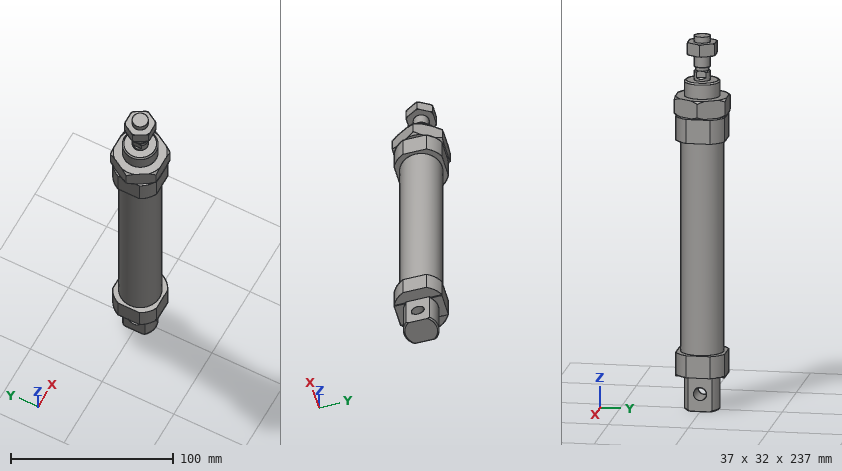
import cadquery as cq
import math

TOTAL_HEIGHT = 237.0
CAP_BOTTOM = 22.0
CAP_STEP = 23.0
REAR_CAP_TOP = 37.0
FRONT_CAP_BOTTOM = 171.8
FRONT_CAP_TOP = 187.0
NECK_TOP = 209.0
ROD_SHOULDER = 215.2
THREAD_BOTTOM = 217.5

TUBE_DIAMETER = 26.8
CAP_WIDTH = 30.5
CAP_FLAT_WIDTH = 15.0
CAP_DIAMETER = math.hypot(CAP_WIDTH, CAP_FLAT_WIDTH)
NECK_DIAMETER = 22.0
NECK_CHAMFER = 1.0
TAIL_DIAMETER = NECK_DIAMETER
TAIL_THICKNESS = 16.0
TAIL_CHAMFER = 1.0
PIN_HOLE_DIAMETER = 8.0
PIN_HOLE_HEIGHT = 11.1

ROD_DIAMETER = 10.0
UNDERCUT_DIAMETER = 8.0
ROD_CHAMFER = 0.7
FLAT_SPACING = UNDERCUT_DIAMETER
FLAT_DEPTH = (ROD_DIAMETER - FLAT_SPACING) / 2
FLAT_BOTTOM = 211.2

NECK_NUT_ACROSS_FLATS = 32.0
NECK_NUT_BOTTOM = 187.7
NECK_NUT_HEIGHT = 11.4
NECK_NUT_FACE_DIAMETER = 33.2
NECK_NUT_CHAMFER_HEIGHT = 1.5
ROD_NUT_ACROSS_FLATS = 17.0
ROD_NUT_BOTTOM = 225.5
ROD_NUT_HEIGHT = 7.8
ROD_NUT_FACE_DIAMETER = 18.5
ROD_NUT_CHAMFER_HEIGHT = 0.5


def cylinder(diameter, bottom, top):
    """Vertical cylinder on the Z axis between two heights."""
    return cq.Workplane("XY", origin=(0, 0, bottom)).circle(diameter / 2).extrude(top - bottom)


def make_cap(bottom, top):
    """Round cap with four flats, one facing each of +X, -X, +Y and -Y."""
    block = cq.Workplane("XY", origin=(0, 0, bottom)).rect(CAP_WIDTH, CAP_WIDTH).extrude(top - bottom)
    return block.intersect(cylinder(CAP_DIAMETER, bottom, top))


def make_rear_cap():
    """Rear cap whose underside is stepped up on the +X and -X sides."""
    bridge = make_cap(CAP_BOTTOM, CAP_STEP).intersect(
        cq.Workplane("XY", origin=(0, 0, CAP_BOTTOM))
        .rect(CAP_FLAT_WIDTH, CAP_WIDTH)
        .extrude(CAP_STEP - CAP_BOTTOM)
    )
    return make_cap(CAP_STEP, REAR_CAP_TOP).union(bridge)


def make_tail():
    """Chamfered round tail with two flats and a cross hole along X."""
    tail = cylinder(TAIL_DIAMETER, 0, CAP_STEP).faces("<Z").chamfer(TAIL_CHAMFER)
    slab = cq.Workplane("XY").rect(TAIL_THICKNESS, TAIL_DIAMETER).extrude(CAP_STEP)
    pin_hole = (
        cq.Workplane("YZ", origin=(0, 0, PIN_HOLE_HEIGHT))
        .circle(PIN_HOLE_DIAMETER / 2)
        .extrude(TAIL_THICKNESS, both=True)
    )
    return tail.intersect(slab).cut(pin_hole)


def make_barrel():
    """Cylinder housing: tail, caps, tube and neck in one solid."""
    tube = cylinder(TUBE_DIAMETER, REAR_CAP_TOP, FRONT_CAP_BOTTOM)
    neck = cylinder(NECK_DIAMETER, FRONT_CAP_TOP, NECK_TOP).faces(">Z").chamfer(NECK_CHAMFER)
    front_cap = make_cap(FRONT_CAP_BOTTOM, FRONT_CAP_TOP)
    return make_tail().union(make_rear_cap()).union(tube).union(front_cap).union(neck)


def make_rod():
    """Piston rod standing on the neck, with two wrench flats that run out at 45 degrees."""
    shank = cylinder(ROD_DIAMETER, NECK_TOP, ROD_SHOULDER).faces(">Z").chamfer(ROD_CHAMFER)
    cutter = (
        cq.Workplane("XZ")
        .moveTo(FLAT_SPACING / 2, THREAD_BOTTOM)
        .lineTo(FLAT_SPACING / 2, FLAT_BOTTOM)
        .lineTo(FLAT_SPACING / 2 + FLAT_DEPTH, FLAT_BOTTOM - FLAT_DEPTH)
        .lineTo(FLAT_SPACING / 2 + FLAT_DEPTH, THREAD_BOTTOM)
        .close()
        .extrude(ROD_DIAMETER / 2, both=True)
    )
    shank = shank.cut(cutter).cut(cutter.mirror("YZ"))
    undercut = cylinder(UNDERCUT_DIAMETER, ROD_SHOULDER, THREAD_BOTTOM)
    thread = cylinder(ROD_DIAMETER, THREAD_BOTTOM, TOTAL_HEIGHT)
    return shank.union(undercut).union(thread)


def make_nut(across_flats, bore, bottom, height, face_diameter, chamfer_height):
    """Hexagon nut with flats facing +Y and -Y, its corners chamfered down to round end faces."""
    across_corners = across_flats / math.cos(math.radians(30))
    chamfer_width = (across_corners - face_diameter) / 2
    envelope = cylinder(across_corners, bottom, bottom + height)
    envelope = envelope.faces("<Z or >Z").chamfer(chamfer_height, chamfer_width)
    prism = cq.Workplane("XY", origin=(0, 0, bottom)).polygon(6, across_corners).extrude(height)
    return prism.intersect(envelope).cut(cylinder(bore, bottom, bottom + height))


barrel = make_barrel()
rod = make_rod()
neck_nut = make_nut(
    across_flats=NECK_NUT_ACROSS_FLATS,
    bore=NECK_DIAMETER,
    bottom=NECK_NUT_BOTTOM,
    height=NECK_NUT_HEIGHT,
    face_diameter=NECK_NUT_FACE_DIAMETER,
    chamfer_height=NECK_NUT_CHAMFER_HEIGHT,
)
rod_nut = make_nut(
    across_flats=ROD_NUT_ACROSS_FLATS,
    bore=ROD_DIAMETER,
    bottom=ROD_NUT_BOTTOM,
    height=ROD_NUT_HEIGHT,
    face_diameter=ROD_NUT_FACE_DIAMETER,
    chamfer_height=ROD_NUT_CHAMFER_HEIGHT,
)

result = cq.Compound.makeCompound([barrel.val(), rod.val(), neck_nut.val(), rod_nut.val()])